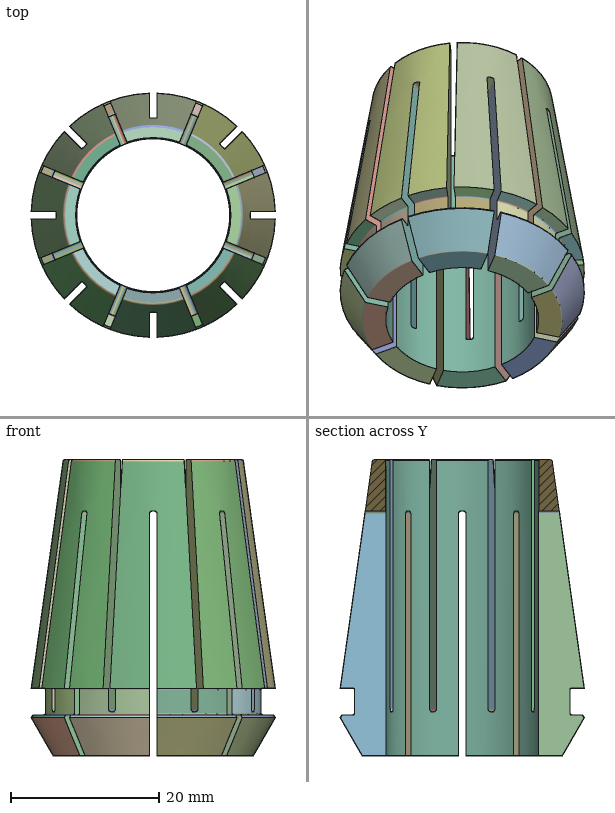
import cadquery as cq
import math

height = 40.0
outer_radius = 32.95 / 2
bore_radius = 20.65 / 2

cone_bottom_z = 9.1
cone_half_angle = 8.0
cone_top_radius = outer_radius - (height - cone_bottom_z) * math.tan(math.radians(cone_half_angle))

groove_bottom_z = 5.55
groove_radius = 14.55
groove_fillet = 0.2

nose_rim_z = 5.15
nose_half_angle = 30.0
nose_bottom_radius = outer_radius - nose_rim_z * math.tan(math.radians(nose_half_angle))

rim_chamfer = 0.3
top_rounding = 0.3
bottom_rounding = 0.1
bore_break = 0.15

slot_count = 8
slot_width = 1.0
slot_corner_radius = 0.4
bottom_slot_end_z = 33.05
top_slot_end_z = 5.95
slot_pitch = 360.0 / slot_count


def make_body():
    """Revolve the wall section around the Z axis."""
    section = (
        cq.Workplane("XZ")
        .moveTo(bore_radius, 0)
        .lineTo(nose_bottom_radius, 0)
        .lineTo(outer_radius, nose_rim_z)
        .lineTo(outer_radius - rim_chamfer, groove_bottom_z)
        .lineTo(groove_radius, groove_bottom_z)
        .lineTo(groove_radius, cone_bottom_z)
        .lineTo(outer_radius, cone_bottom_z)
        .lineTo(cone_top_radius, height)
        .lineTo(bore_radius, height)
        .close()
    )
    return section.revolve(360, (0, 0, 0), (0, 1, 0))


def break_edges(body):
    """Fillet the groove corners, round both end rims and chamfer the upper bore edge."""
    smallest = cq.selectors.RadiusNthSelector(0)
    largest = cq.selectors.RadiusNthSelector(-1)
    body = body.faces("%PLANE and (not(<Z or >Z))").edges(smallest).fillet(groove_fillet)
    body = body.faces(">Z").edges(largest).fillet(top_rounding)
    body = body.faces("<Z").edges(largest).fillet(bottom_rounding)
    return body.faces(">Z").edges(smallest).chamfer(bore_break)


def make_slot(open_z, end_z, angle):
    """Radial slot cutter from an open end face to a blind end with rounded corners."""
    slot_length = abs(open_z - end_z)
    end_corners = ">Z" if end_z > open_z else "<Z"
    return (
        cq.Workplane("XY")
        .box(slot_width, outer_radius, slot_length)
        .faces(end_corners)
        .edges("|Y")
        .fillet(slot_corner_radius)
        .translate((0, -outer_radius / 2, (open_z + end_z) / 2))
        .rotate((0, 0, 0), (0, 0, 1), angle)
    )


result = break_edges(make_body())
for index in range(slot_count):
    slot_angle = index * slot_pitch
    result = result.cut(make_slot(0, bottom_slot_end_z, slot_angle))
    result = result.cut(make_slot(height, top_slot_end_z, slot_angle + slot_pitch / 2))